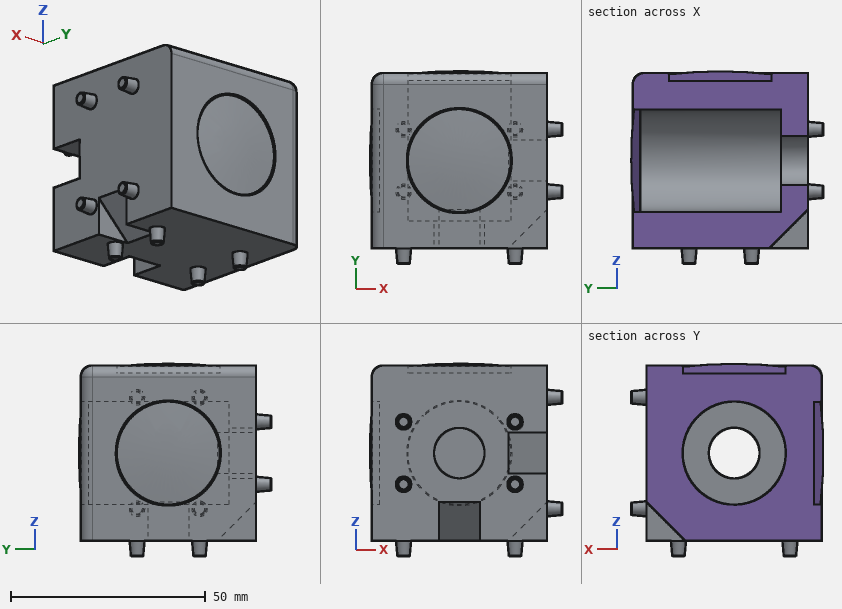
import cadquery as cq

cube_side = 45.0
half_cube = cube_side / 2
edge_radius = 3.0

notch_leg = 9.95
notch_width = 10.55

pin_length = 4.0
pin_base_radius = 2.0
pin_tip_radius = 1.65
pin_tip_chamfer = 0.3
pin_half_pitch_long = 14.3
pin_half_pitch_short = 8.0

lens_radius = 13.2
lens_seat_depth = 2.0
lens_rim_chamfer = 0.3
lens_bulge = 0.45

chamber_radius = lens_radius
front_wall = 6.95
bore_radius = 6.5

PIN_FACES = [
    ((0, -1, 0), (1, 0, 0)),
    ((1, 0, 0), (0, 0, 1)),
    ((0, 0, -1), (1, 0, 0)),
]
LENS_FACES = [
    ((-1, 0, 0), (0, 0, 1)),
    ((0, 1, 0), (1, 0, 0)),
    ((0, 0, 1), (1, 0, 0)),
]


def face_plane(normal, x_direction):
    """Plane on a cube face, with its local z pointing out of the cube."""
    origin = tuple(half_cube * component for component in normal)
    return cq.Plane(origin=origin, xDir=x_direction, normal=normal)


def make_pin():
    """One tapered pin standing on the local XY plane."""
    return (
        cq.Workplane("XZ")
        .lineTo(pin_base_radius, 0)
        .lineTo(pin_tip_radius, pin_length - pin_tip_chamfer)
        .lineTo(pin_tip_radius - pin_tip_chamfer, pin_length)
        .lineTo(0, pin_length)
        .close()
        .revolve(360, (0, 0, 0), (0, 1, 0))
        .val()
    )


def make_notch(plane):
    """Triangular prism whose right angle lies on a cube edge, centred along that edge."""
    return (
        cq.Workplane(plane)
        .polyline([(0, 0), (notch_leg, 0), (0, notch_leg)])
        .close()
        .extrude(notch_width / 2, both=True)
    )


def make_lens_seat():
    """Cutter for a round seat with a chamfered mouth, sunk below the local XY plane."""
    return (
        cq.Workplane("XZ")
        .lineTo(lens_radius + lens_rim_chamfer, 0)
        .lineTo(lens_radius, -lens_rim_chamfer)
        .lineTo(lens_radius, -lens_seat_depth)
        .lineTo(0, -lens_seat_depth)
        .close()
        .revolve(360, (0, 0, 0), (0, 1, 0))
        .val()
    )


def make_lens():
    """Lens with a flat back and a shallow dome that starts at the foot of the seat chamfer."""
    dome_height = lens_bulge + lens_rim_chamfer
    dome_radius = (lens_radius**2 + dome_height**2) / (2 * dome_height)
    dome = cq.Workplane("XY").sphere(dome_radius).translate((0, 0, lens_bulge - dome_radius))
    return (
        cq.Workplane("XY")
        .workplane(offset=-lens_seat_depth)
        .circle(lens_radius)
        .extrude(lens_seat_depth + lens_bulge)
        .intersect(dome)
        .solids()
        .val()
    )


def make_housing():
    """Cube with rounded edges, notches, chamber, bore, lens seats and pins."""
    body = cq.Workplane("XY").box(cube_side, cube_side, cube_side)

    corner_edges = "(<X and >Y) or (<X and >Z) or (>Y and >Z)"
    body = body.edges(corner_edges).fillet(edge_radius)

    notch_planes = [
        cq.Plane(origin=(half_cube, -half_cube, 0), xDir=(-1, 0, 0), normal=(0, 0, -1)),
        cq.Plane(origin=(0, -half_cube, -half_cube), xDir=(0, 1, 0), normal=(1, 0, 0)),
        cq.Plane(origin=(half_cube, 0, -half_cube), xDir=(-1, 0, 0), normal=(0, 1, 0)),
    ]
    for plane in notch_planes:
        body = body.cut(make_notch(plane))

    chamber_plane = face_plane((0, 1, 0), (1, 0, 0))
    chamber = cq.Workplane(chamber_plane).circle(chamber_radius).extrude(front_wall - cube_side)
    body = body.cut(chamber)
    bore_plane = face_plane((0, -1, 0), (1, 0, 0))
    bore = cq.Workplane(bore_plane).circle(bore_radius).extrude(-front_wall)
    body = body.cut(bore)

    for face in LENS_FACES:
        lens_seat = make_lens_seat().moved(face_plane(*face).location)
        body = body.cut(cq.Workplane(lens_seat))

    for face in PIN_FACES:
        face_location = face_plane(*face).location
        for x in (-pin_half_pitch_long, pin_half_pitch_long):
            for y in (-pin_half_pitch_short, pin_half_pitch_short):
                pin = make_pin().moved(face_location * cq.Location(cq.Vector(x, y, 0)))
                body = body.union(cq.Workplane(pin))
    return body


housing = make_housing()
lenses = [make_lens().moved(face_plane(*face).location) for face in LENS_FACES]

result = cq.Compound.makeCompound([housing.solids().val(), *lenses])